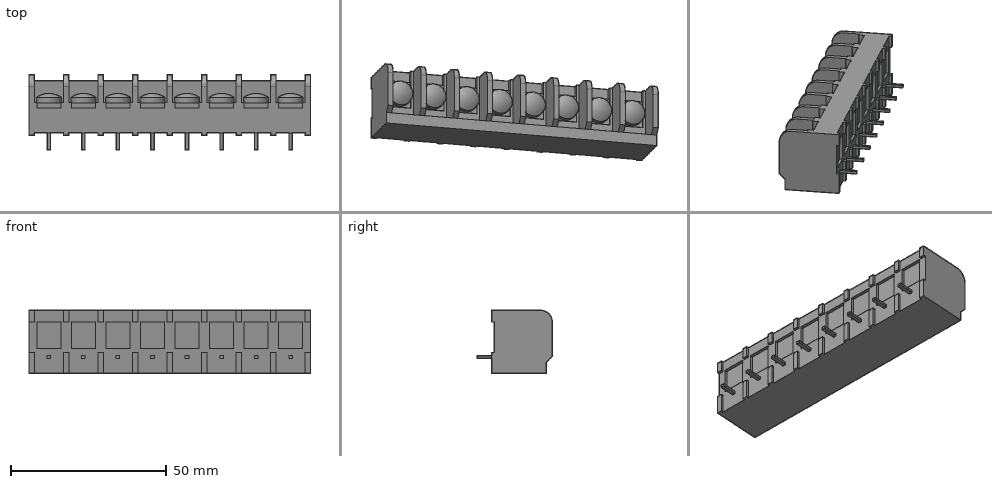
import cadquery as cq


pole_count = 8
pitch = 11.125
barrier_thickness = 1.75
length = pole_count * pitch + barrier_thickness
height = 20.32

depth = 19.58
rib_depth = 0.81
rear_overhang = 1.91
overhang_bottom = 5.45
barrier_corner_radius = 3.8
rear_face = depth - rear_overhang
overhang_chamfer_bottom = overhang_bottom - rear_overhang

rib_gap_bottom = 6.75
rib_gap_top = 16.5

bay_width = pitch - barrier_thickness
bay_floor = overhang_chamfer_bottom
bay_wall = 10.6

pocket_width = 7.7
pocket_bottom = 7.9
pocket_top = 16.55
pocket_depth = 0.9
notch_floor_y = 8.75
plate_face = 10.35

head_diameter = 8.0
head_rim_length = 1.9
head_dome_height = 1.27
head_z = (pocket_bottom + pocket_top) / 2

pin_width = 1.14
pin_thickness = 0.85
pin_z = 5.22
pin_reach = 4.68
pin_length = pin_reach + rib_depth

barrier_centers = [(i - pole_count / 2) * pitch for i in range(pole_count + 1)]
pole_centers = [x + pitch / 2 for x in barrier_centers[:-1]]


def block(x_center, x_size, y_range, z_range):
    """Box centred on x_center, spanning the given Y and Z ranges."""
    y_start, y_end = y_range
    z_start, z_end = z_range
    corner = (x_center - x_size / 2, y_start, z_start)
    return cq.Workplane("XY").box(x_size, y_end - y_start, z_end - z_start, centered=False).translate(corner)


def make_barrier(x_center):
    """Divider wall with a rounded upper rear corner, a chamfered rear overhang and front ribs."""
    wall = (
        cq.Workplane("YZ")
        .moveTo(0, 0)
        .lineTo(rear_face, 0)
        .lineTo(rear_face, overhang_chamfer_bottom)
        .lineTo(depth, overhang_bottom)
        .lineTo(depth, height - barrier_corner_radius)
        .radiusArc((depth - barrier_corner_radius, height), -barrier_corner_radius)
        .lineTo(0, height)
        .lineTo(0, rib_gap_top)
        .lineTo(rib_depth, rib_gap_top)
        .lineTo(rib_depth, rib_gap_bottom)
        .lineTo(0, rib_gap_bottom)
        .close()
        .extrude(barrier_thickness)
    )
    return wall.translate((x_center - barrier_thickness / 2, 0, 0))


def make_bay_body(x_center):
    """Housing between two barriers: base ledge, wall, front pocket and rear notch."""
    base = block(x_center, bay_width, (rib_depth, rear_face), (0, bay_floor))
    wall = block(x_center, bay_width, (rib_depth, bay_wall), (bay_floor, height))
    pocket = block(
        x_center, pocket_width, (rib_depth, rib_depth + pocket_depth), (pocket_bottom, pocket_top)
    )
    notch = block(x_center, pocket_width, (notch_floor_y, bay_wall), (pocket_bottom, height))
    return base.union(wall).cut(pocket).cut(notch)


def make_plate(x_center):
    """Terminal plate seated in the rear notch."""
    return block(x_center, pocket_width, (notch_floor_y, plate_face), (pocket_bottom, pocket_top))


def make_screw_head(x_center):
    """Cylindrical head with a shallow spherical dome, its axis along +Y."""
    radius = head_diameter / 2
    dome_radius = (radius**2 + head_dome_height**2) / (2 * head_dome_height)
    rim_end = plate_face + head_rim_length
    head = (
        cq.Workplane("XY")
        .moveTo(0, plate_face)
        .lineTo(radius, plate_face)
        .lineTo(radius, rim_end)
        .radiusArc((0, rim_end + head_dome_height), -dome_radius)
        .close()
        .revolve(360, (0, 0, 0), (0, 1, 0))
    )
    return head.translate((x_center, 0, head_z))


def make_pin(x_center):
    """Rectangular solder pin standing out of the front face."""
    pin_bottom = pin_z - pin_thickness / 2
    return block(
        x_center, pin_width, (rib_depth - pin_length, rib_depth), (pin_bottom, pin_bottom + pin_thickness)
    )


result = make_barrier(barrier_centers[0])
for x in barrier_centers[1:]:
    result = result.union(make_barrier(x))
for x in pole_centers:
    for make_feature in (make_bay_body, make_plate, make_screw_head, make_pin):
        result = result.union(make_feature(x))